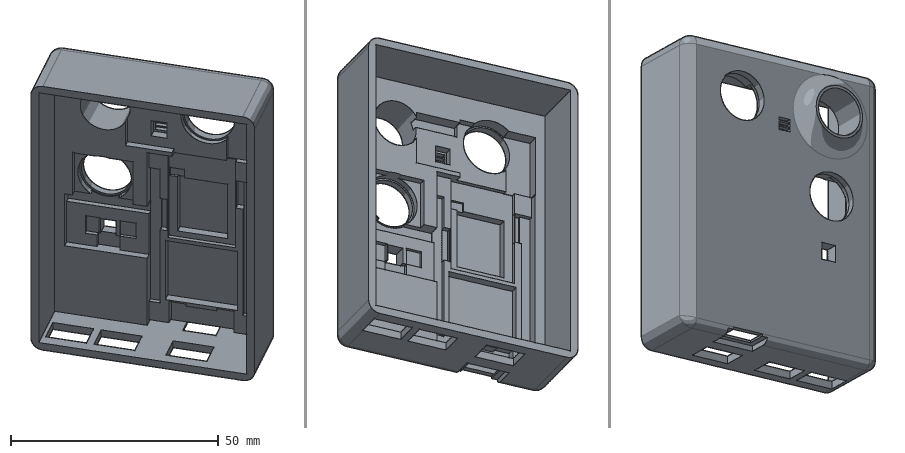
import cadquery as cq
import math

width = 56.0
height = 76.0
body_depth = 19.7
wall = 2.0
edge_radius = 3.0
bottom_rear_radius = 2.0
floor_y = 14.3

board_y = 16.1
shallow_y = 16.9
rail_y = 17.2
pin_y = 17.5
part_y = 17.8
deep_y = 18.3
membrane_y = 19.3

collar_x = -13.6
sensor_z = 24.55
collar_height = 4.0
collar_diameter = 13.4
collar_bore = 12.0
collar_radius = collar_diameter / 2

counterbore_diameter = 13.4
right_bore = 12.6
right_bore_x = 11.8
left_bore = 12.5
left_bore_x = -14.0
left_bore_z = 4.0

outer_bottom = -height / 2
inner_bottom = outer_bottom + wall
board_left, board_right, board_top = -2.85, 23.35, 13.75
rail_width = 2.75
rail_bottom, rail_top = -30.2, 8.3
rail_inner_left = board_left + rail_width
rail_inner_right = board_right - rail_width
main_board = (board_left, board_right, inner_bottom, board_top)
left_rail = (board_left, rail_inner_left, rail_bottom, rail_top)
right_rail = (rail_inner_right, board_right, rail_bottom, rail_top)
left_notch = (rail_inner_left, 1.55, -9.1, -0.1)
right_notch = (18.85, rail_inner_right, 0.45, rail_top)
display = (1.8, 18.7, -11.0, board_top)
display_window = (3.95, 16.45, -9.45, 6.2)
display_clip = (2.0, 5.65, 6.2, 8.55)
battery = (1.2, 19.2, -29.0, -12.0)
socket = (2.1, 18.3, inner_bottom, -29.4)
socket_foot = (board_left, board_right, inner_bottom, -35.5)
socket_lip = (6.4, 14.0, -30.0, -29.4)

upper_left = (-8.3, 3.35, 14.85, 28.75)
upper_right = (3.35, 23.55, board_top, 29.5)
upper_pins = (-8.3, 3.35, 25.7, 28.75)
upper_parts = (16.45, 23.55, board_top, 29.5)

side_left, side_top, side_bottom = -23.5, -1.75, -16.7
side_board = (side_left, board_left, side_bottom, side_top)
side_pins = (side_left, board_left, -5.0, side_top)
lens_seat = (-21.6, -6.35, side_top, 10.5)
side_left_part = (-18.85, -15.4, -13.4, -8.3)
side_channel = (-15.9, -10.2, side_bottom, -12.7)
side_right_part = (-10.2, -6.1, -12.7, -8.3)
side_opening = (-15.1, -11.15, -12.85, -8.5)

vent = (-2.35, 1.55, 17.55, 21.9)
vent_slot_width = 3.1
vent_slot_height = 0.8
vent_slot_pitch = 1.2
vent_slots = 3

port_front, port_rear = 2.95, 9.4
port_width = 10.2
port_lefts = (-25.1, -13.0, 5.0)

plug_left, plug_right, plug_front = 6.0, 14.3, 14.5
plug_skin = 0.6
plug_margin = 1.5


def box(left, right, front, rear, bottom, top):
    block = cq.Workplane("XY").box(right - left, rear - front, top - bottom, centered=False)
    return block.translate((left, front, bottom))


def recess(area, rear):
    """Block that cuts an area of the back wall from its inner face down to rear."""
    left, right, bottom, top = area
    return box(left, right, floor_y, rear, bottom, top)


def cylinder(x, z, diameter, front, rear):
    plane = cq.Plane(origin=(x, front, z), xDir=(1, 0, 0), normal=(0, 1, 0))
    return cq.Workplane(plane).circle(diameter / 2).extrude(rear - front)


def shell():
    half_w, half_h = width / 2, height / 2
    bottom_rear_edge = cq.NearestToPointSelector((0, body_depth, outer_bottom))
    body = box(-half_w, half_w, 0, body_depth, -half_h, half_h)
    body = body.edges("|Y or (>Y and |Z) or (>Y and >Z)").fillet(edge_radius)
    body = body.edges(bottom_rear_edge).fillet(bottom_rear_radius)
    cavity = box(wall - half_w, half_w - wall, 0, floor_y, wall - half_h, half_h - wall)
    return body.cut(cavity)


def collar():
    """Collar whose outside flares into the back face along a quarter circle."""
    tip_y = body_depth + collar_height
    base_radius = collar_radius + collar_height
    bend = collar_height * (1 - math.cos(math.pi / 4))
    root_y = floor_y + wall
    profile = (
        cq.Workplane("XY")
        .moveTo(0, root_y)
        .lineTo(0, tip_y)
        .lineTo(collar_radius, tip_y)
        .threePointArc((collar_radius + bend, body_depth + bend), (base_radius, body_depth))
        .lineTo(collar_radius, root_y)
        .close()
    )
    return profile.revolve(360, (0, 0, 0), (0, 1, 0)).translate((collar_x, 0, sensor_z))


def cut_recesses(body, areas, rear):
    for area in areas:
        body = body.cut(recess(area, rear))
    return body


def cut_main_board(body):
    """Bay for the main board, with its rails, display, battery and socket clearances."""
    body = cut_recesses(body, [main_board], board_y)
    body = cut_recesses(body, [left_rail, right_rail, display], rail_y)
    body = cut_recesses(body, [left_notch], pin_y)
    body = cut_recesses(body, [right_notch, display_clip], part_y)
    body = cut_recesses(body, [battery, socket_foot], deep_y)
    body = cut_recesses(body, [display_window], membrane_y)
    return body.cut(recess(socket, deep_y).cut(recess(socket_lip, deep_y)))


def cut_upper_board(body):
    """Stepped seat of the upper board, with its pin and component clearances."""
    body = cut_recesses(body, [upper_left, upper_right], board_y)
    return cut_recesses(body, [upper_pins, upper_parts], pin_y)


def cut_side_board(body):
    """Seat of the side board, with its pin and component clearances and a through opening."""
    body = cut_recesses(body, [side_board, lens_seat], board_y)
    body = cut_recesses(body, [side_right_part], shallow_y)
    body = cut_recesses(body, [side_left_part, side_channel], rail_y)
    body = cut_recesses(body, [side_pins], pin_y)
    return cut_recesses(body, [side_opening], body_depth)


def cut_vent(body):
    left, right, bottom, top = vent
    center_x = (left + right) / 2
    center_z = (bottom + top) / 2
    body = cut_recesses(body, [vent], deep_y)
    for index in range(vent_slots):
        slot_z = center_z + (index - (vent_slots - 1) / 2) * vent_slot_pitch
        slot = (
            center_x - vent_slot_width / 2,
            center_x + vent_slot_width / 2,
            slot_z - vent_slot_height / 2,
            slot_z + vent_slot_height / 2,
        )
        body = body.cut(recess(slot, body_depth))
    return body


def cut_stepped_hole(body, x, z, bore, seat_y):
    """Through hole with a wider counterbore on the inside, ending at seat_y."""
    body = body.cut(cylinder(x, z, bore, floor_y, body_depth))
    return body.cut(cylinder(x, z, counterbore_diameter, floor_y, seat_y))


def cut_round_openings(body):
    body = body.cut(cylinder(collar_x, sensor_z, collar_bore, floor_y, body_depth + collar_height))
    body = cut_stepped_hole(body, right_bore_x, sensor_z, right_bore, pin_y)
    return cut_stepped_hole(body, left_bore_x, left_bore_z, left_bore, part_y)


def cut_ports(body):
    for left in port_lefts:
        body = body.cut(box(left, left + port_width, port_front, port_rear, outer_bottom, inner_bottom))
    return body


def cut_plug_slot(body):
    slot = box(plug_left, plug_right, plug_front, body_depth, outer_bottom, inner_bottom)
    clearance = box(
        plug_left - plug_margin,
        plug_right + plug_margin,
        plug_front - plug_margin,
        body_depth,
        outer_bottom,
        inner_bottom - plug_skin,
    )
    return body.cut(slot).cut(clearance)


result = shell().union(collar())
result = cut_main_board(result)
result = cut_upper_board(result)
result = cut_side_board(result)
result = cut_vent(result)
result = cut_round_openings(result)
result = cut_ports(result)
result = cut_plug_slot(result)